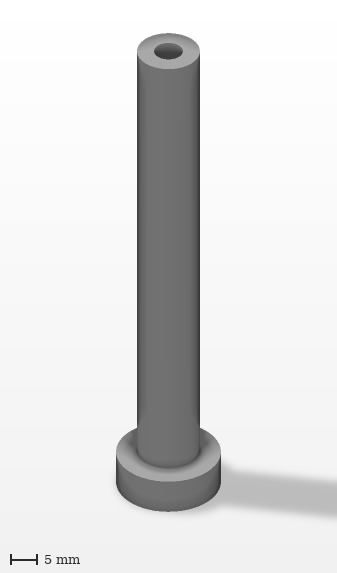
import cadquery as cq

total_length = 100.0
head_diameter = 20.0
head_height = 7.0
shank_diameter = 12.0
bore_diameter = 5.5
neck_fillet_radius = 0.5

head = cq.Workplane("XY").circle(head_diameter / 2).extrude(head_height)

sleeve = head.faces(">Z").workplane().circle(shank_diameter / 2).extrude(total_length - head_height)

neck_edge = cq.selectors.RadiusNthSelector(0)
sleeve = sleeve.faces(cq.selectors.NearestToPointSelector((0, 0, head_height))).edges(neck_edge)
sleeve = sleeve.fillet(neck_fillet_radius)

result = sleeve.faces(">Z").workplane().circle(bore_diameter / 2).cutThruAll()